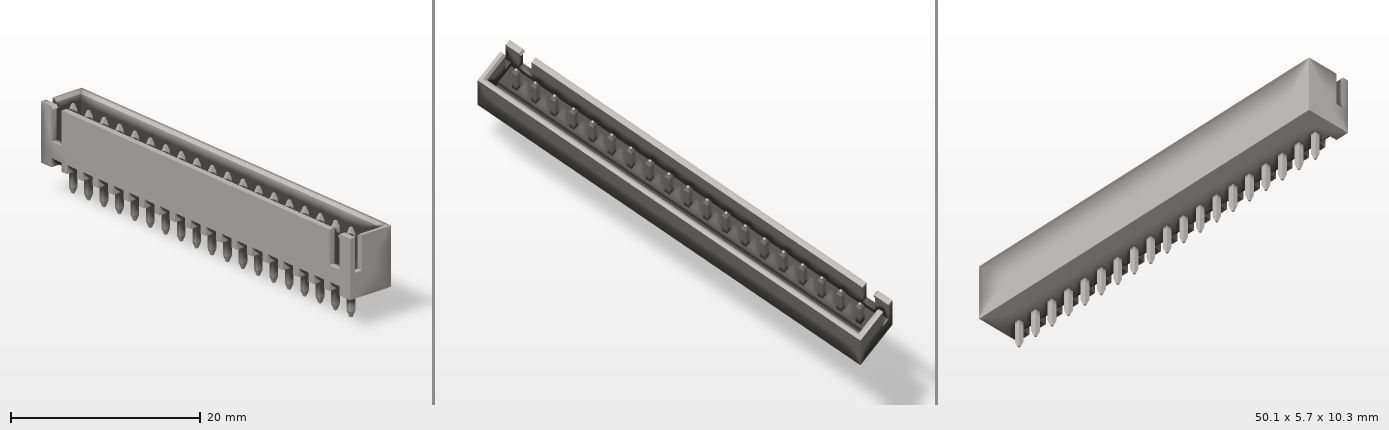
import cadquery as cq

length = 50.1
depth = 5.7
height = 7.0
wall = 0.7
floor_height = 2.0
lead_in = 0.3

step_setback = 2.95
step_run = 0.15
step_drop = 0.45

slot_drop = 4.05
front_slot_width = 1.65
end_slot_width = 0.95

nib_reach = 0.3
nib_height = 0.5

pin_count = 19
pin_end_margin = 2.55
pin_width = 0.65
pin_bottom = -3.3
pin_top = 6.9
tip_length = 0.7
tip_width = 0.25
pin_setback = 2.3

notch_width = 1.65
notch_height = 1.05
notch_depth = 1.1

front_y = -depth / 2
row_length = length - 2 * pin_end_margin
pin_pitch = row_length / (pin_count - 1)
pin_xs = [i * pin_pitch - row_length / 2 for i in range(pin_count)]
pin_y = front_y + pin_setback


def box_between(x0, x1, y0, y1, z0, z1):
    """Axis-aligned block between two opposite corners."""
    return cq.Workplane("XY").box(x1 - x0, y1 - y0, z1 - z0, centered=False).translate((x0, y0, z0))


def make_housing():
    """Box with a stepped cavity whose end and back rims are bevelled inwards."""
    inner_x = length / 2 - wall
    inner_front = front_y + wall
    inner_back = -front_y - wall
    shell = box_between(-length / 2, length / 2, front_y, -front_y, 0, height)
    step_y = front_y + step_setback
    low_floor = floor_height - step_drop
    cavity_profile = [
        (inner_front, height),
        (inner_front, floor_height),
        (step_y, floor_height),
        (step_y + step_run, low_floor),
        (inner_back, low_floor),
        (inner_back, height),
    ]
    cavity = (
        cq.Workplane("YZ", origin=(-inner_x, 0, 0))
        .polyline(cavity_profile)
        .close()
        .extrude(2 * inner_x)
    )
    bevel = (
        cq.Workplane("XY", origin=(0, 0, height))
        .rect(2 * (inner_x + lead_in), 2 * (inner_back + lead_in))
        .workplane(offset=-lead_in)
        .rect(2 * inner_x, 2 * inner_back)
        .loft(combine=True)
    )
    behind_front_wall = box_between(-length, length, inner_front, depth, 0, height)
    return shell.cut(cavity).cut(bevel.intersect(behind_front_wall))


def make_slots():
    """Two slots in the front wall over the outer pins, and one through both end walls."""
    slot_floor = height - slot_drop
    end_slot_y = front_y + wall
    slots = box_between(-length, length, end_slot_y, end_slot_y + end_slot_width, slot_floor, height)
    for x in (pin_xs[0], pin_xs[-1]):
        half = front_slot_width / 2
        slots = slots.union(box_between(x - half, x + half, front_y, end_slot_y, slot_floor, height))
    return slots


def make_nib():
    """Wedge on the left-hand front slot, sloping down into the slot from the rim."""
    wall_x = pin_xs[0] - front_slot_width / 2
    return (
        cq.Workplane("XZ", origin=(wall_x, front_y, height))
        .lineTo(nib_reach, -nib_reach)
        .lineTo(0, -nib_height)
        .close()
        .extrude(-wall)
    )


def make_notch(x):
    """Wedge under the front edge, its sloped ceiling falling towards the back."""
    return (
        cq.Workplane("YZ", origin=(x - notch_width / 2, 0, 0))
        .moveTo(front_y, 0)
        .lineTo(front_y + notch_depth, 0)
        .lineTo(front_y, notch_height)
        .close()
        .extrude(notch_width)
    )


def make_tip(base_z, direction):
    """Tapered pin end running from the shank at base_z."""
    return (
        cq.Workplane("XY", origin=(0, 0, base_z))
        .rect(pin_width, pin_width)
        .workplane(offset=direction * tip_length)
        .rect(tip_width, tip_width)
        .loft(combine=True)
    )


def make_pin():
    """Square pin on the Z axis, tapered at both ends."""
    shank_bottom = pin_bottom + tip_length
    shank_top = pin_top - tip_length
    half = pin_width / 2
    shank = box_between(-half, half, -half, half, shank_bottom, shank_top)
    return shank.union(make_tip(shank_top, 1)).union(make_tip(shank_bottom, -1))


result = make_housing().cut(make_slots())
nib = make_nib()
result = result.union(nib).union(nib.mirror("YZ"))
pin = make_pin()
for pin_x in pin_xs:
    result = result.cut(make_notch(pin_x))
for pin_x in pin_xs:
    result = result.union(pin.translate((pin_x, pin_y, 0)))